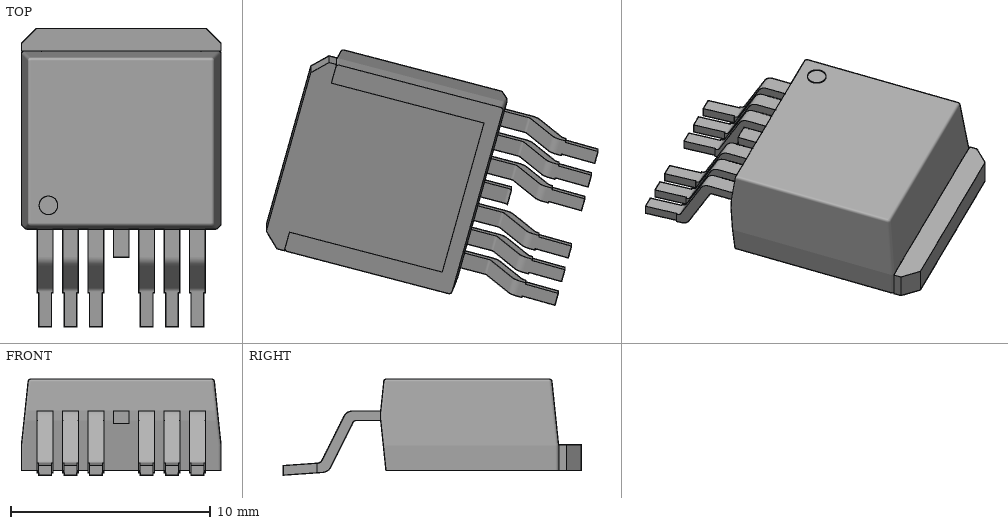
import cadquery as cq
import math


OVERALL_LENGTH = 14.99

HOUSING_WIDTH = 10.05
HOUSING_LENGTH = 8.95
HOUSING_HEIGHT = 4.6
DRAFT = math.tan(math.radians(6))
KNEE_HEIGHT = 1.25
EDGE_RADIUS = 0.15

LEAD_COUNT = 7
STUB_POSITION = 3
LEAD_PITCH = 1.27
LEAD_WIDTH = 0.8
LEAD_THICKNESS = 0.5
LEAD_TOP = 3.0
LEAD_UNDERSIDE = LEAD_TOP - LEAD_THICKNESS
LEAD_REACH = 4.9
LEAD_EMBEDMENT = 1.0
TOP_KNEE_REACH = 1.71
UNDER_KNEE_REACH = 1.33
SHANK_SLOPE = 2.0
FOOT_SLOPE = math.tan(math.radians(4))
TIP_BOTTOM = -0.24
TIP_TOP = TIP_BOTTOM + LEAD_THICKNESS
OUTER_BEND_RADIUS = 0.5
KNEE_UNDER_RADIUS = 0.15
HEEL_TOP_RADIUS = 0.24
FOOT_WIDTH = 0.65
FOOT_START = 3.2
STUB_REACH = 1.41

TAB_THICKNESS = 1.3
TAB_LENGTH = OVERALL_LENGTH - LEAD_REACH - HOUSING_LENGTH
TAB_CHAMFER = 0.75
TAB_SHOULDER = 1.0
NECK_LENGTH = HOUSING_LENGTH - TAB_SHOULDER

MARK_RADIUS = 0.46
MARK_DEPTH = 0.05
MARK_X = -3.66
MARK_Y = 1.2


def make_housing_blank():
    """Drafted block with rounded corners and a rounded top rim."""
    draft_above_knee = (HOUSING_HEIGHT - KNEE_HEIGHT) * DRAFT
    front_draft_above_leads = (HOUSING_HEIGHT - LEAD_TOP) * DRAFT
    front_draft_below_leads = LEAD_UNDERSIDE * DRAFT
    half_width = HOUSING_WIDTH / 2

    side_profile = (
        cq.Workplane("YZ")
        .moveTo(front_draft_below_leads, 0)
        .lineTo(0, LEAD_UNDERSIDE)
        .lineTo(0, LEAD_TOP)
        .lineTo(front_draft_above_leads, HOUSING_HEIGHT)
        .lineTo(HOUSING_LENGTH - draft_above_knee, HOUSING_HEIGHT)
        .lineTo(HOUSING_LENGTH, KNEE_HEIGHT)
        .lineTo(HOUSING_LENGTH, 0)
        .close()
        .extrude(half_width, both=True)
    )
    front_profile = (
        cq.Workplane("XZ")
        .moveTo(-half_width, 0)
        .lineTo(-half_width, KNEE_HEIGHT)
        .lineTo(-half_width + draft_above_knee, HOUSING_HEIGHT)
        .lineTo(half_width - draft_above_knee, HOUSING_HEIGHT)
        .lineTo(half_width, KNEE_HEIGHT)
        .lineTo(half_width, 0)
        .close()
        .extrude(-HOUSING_LENGTH)
    )
    block = side_profile.intersect(front_profile)
    block = block.edges("not(|X or |Y)").fillet(EDGE_RADIUS)
    return block.faces(">Z").edges().fillet(EDGE_RADIUS)


def make_tab():
    """Chamfered tab behind the housing, with a narrower neck inside it."""
    neck_width = HOUSING_WIDTH - 2 * TAB_SHOULDER
    tab = (
        cq.Workplane("XY")
        .box(HOUSING_WIDTH, TAB_LENGTH, TAB_THICKNESS, centered=(True, False, False))
        .translate((0, HOUSING_LENGTH, 0))
        .edges("|Z and >Y")
        .chamfer(TAB_CHAMFER)
    )
    neck = (
        cq.Workplane("XY")
        .box(neck_width, NECK_LENGTH, TAB_THICKNESS, centered=(True, False, False))
        .translate((0, HOUSING_LENGTH - NECK_LENGTH, 0))
    )
    return tab.union(neck)


def heel_corner(knee, tip):
    """Point where the shank line through knee meets the foot line through tip."""
    knee_y, knee_z = knee
    tip_y, tip_z = tip
    y = (tip_z - FOOT_SLOPE * tip_y - knee_z + SHANK_SLOPE * knee_y) / (SHANK_SLOPE - FOOT_SLOPE)
    return y, knee_z + SHANK_SLOPE * (y - knee_y)


def make_lead_blank(x):
    """Lead of full width, bent down to a slightly tilted foot."""
    top_knee = (-TOP_KNEE_REACH, LEAD_TOP)
    under_knee = (-UNDER_KNEE_REACH, LEAD_UNDERSIDE)
    top_tip = (-LEAD_REACH, TIP_TOP)
    bottom_tip = (-LEAD_REACH, TIP_BOTTOM)
    top_heel = heel_corner(top_knee, top_tip)
    under_heel = heel_corner(under_knee, bottom_tip)

    lead = (
        cq.Workplane("YZ")
        .polyline([
            (LEAD_EMBEDMENT, LEAD_TOP), top_knee, top_heel, top_tip,
            bottom_tip, under_heel, under_knee, (LEAD_EMBEDMENT, LEAD_UNDERSIDE),
        ])
        .close()
        .extrude(LEAD_WIDTH / 2, both=True)
    )
    bends = [
        (top_knee, OUTER_BEND_RADIUS),
        (under_heel, OUTER_BEND_RADIUS),
        (under_knee, KNEE_UNDER_RADIUS),
        (top_heel, HEEL_TOP_RADIUS),
    ]
    for (y, z), radius in bends:
        lead = lead.edges(cq.NearestToPointSelector((0, y, z))).fillet(radius)
    return lead.translate((x, 0, 0))


def beyond(reach, x, width):
    """Block of the given width covering everything further out than reach."""
    return (
        cq.Workplane("XY")
        .box(width, LEAD_REACH, 2 * HOUSING_HEIGHT)
        .translate((x, -reach - LEAD_REACH / 2, 0))
    )


def make_lead(x):
    """Full lead with its foot narrowed on both sides."""
    foot_sides = beyond(FOOT_START, x, 2 * LEAD_WIDTH).cut(beyond(FOOT_START, x, FOOT_WIDTH))
    return make_lead_blank(x).cut(foot_sides)


def make_stub(x):
    """Lead cropped where its bend begins."""
    return make_lead_blank(x).cut(beyond(STUB_REACH, x, 2 * LEAD_WIDTH))


def make_mark():
    """Round pin-1 mark set flush into the top of the housing."""
    return (
        cq.Workplane("XY")
        .circle(MARK_RADIUS)
        .extrude(-MARK_DEPTH)
        .translate((MARK_X, MARK_Y, HOUSING_HEIGHT))
    )


tab = make_tab()
mark = make_mark()
leads = []
for position in range(LEAD_COUNT):
    lead_x = (position - STUB_POSITION) * LEAD_PITCH
    if position == STUB_POSITION:
        stub = make_stub(lead_x)
    else:
        leads.append(make_lead(lead_x))

housing = make_housing_blank()
for insert in [tab, mark, stub, *leads]:
    housing = housing.cut(insert)

result = cq.Compound.makeCompound([
    housing.solids().val(),
    tab.solids().val(),
    mark.solids().val(),
    stub.solids().val(),
    *[lead.solids().val() for lead in leads],
])